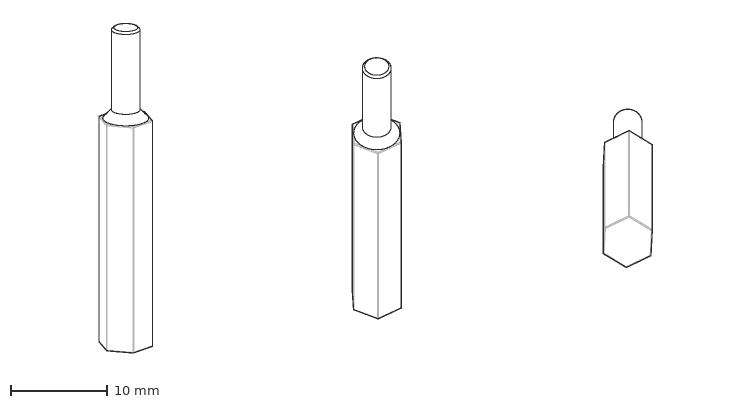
import cadquery as cq
import math

total_length = 35.0
hex_length = 25.0
across_flats = 5.0
edge_radius = 0.1

stud_diameter = 3.0
stud_chamfer = 0.25
cone_height = 0.95

stud_radius = stud_diameter / 2
cone_base_radius = across_flats / 2 - edge_radius


def make_hex_body():
    """Hexagonal bar with corners on the X axis and all edges lightly rounded."""
    corner_diameter = across_flats / math.cos(math.pi / 6)
    body = cq.Workplane("XY").polygon(6, corner_diameter).extrude(hex_length)
    return body.edges().fillet(edge_radius)


def make_stud():
    """Round stud with a conical shoulder at its foot and a chamfered tip."""
    profile = [
        (0, hex_length / 2),
        (cone_base_radius, hex_length / 2),
        (cone_base_radius, hex_length),
        (stud_radius, hex_length + cone_height),
        (stud_radius, total_length - stud_chamfer),
        (stud_radius - stud_chamfer, total_length),
        (0, total_length),
    ]
    return cq.Workplane("XZ").polyline(profile).close().revolve(360, (0, 0, 0), (0, 1, 0))


result = make_hex_body().union(make_stud())